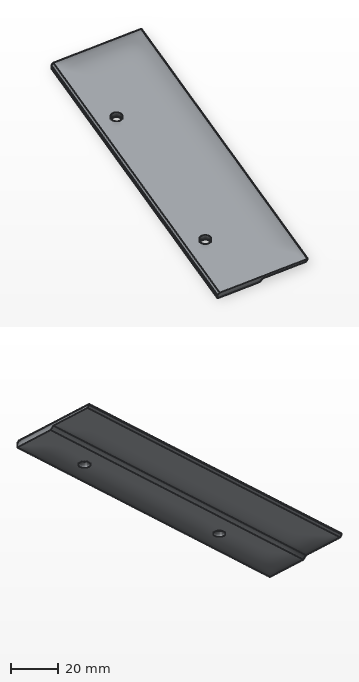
import cadquery as cq

length = 150.0
width = 43.0
thickness = 3.0

bar_width = 20.0
step_slope_run = 1.6
lip_thickness = thickness / 2
edge_chamfer = 1.0

hole_count = 2
hole_diameter = 5.2
hole_y = bar_width / 2
first_hole_x = 40.0
hole_spacing = 80.0


def make_strip():
    """Extrude the Y-Z cross-section along X."""
    lip_bottom = thickness - lip_thickness
    profile = [
        (0, 0),
        (bar_width, 0),
        (bar_width + step_slope_run, lip_bottom),
        (width - edge_chamfer, lip_bottom),
        (width, lip_bottom + edge_chamfer),
        (width, thickness),
        (edge_chamfer, thickness),
        (0, thickness - edge_chamfer),
    ]
    return cq.Workplane("YZ").polyline(profile).close().extrude(length)


def make_holes():
    """Vertical cylinders in a row along X that pass through the strip."""
    centres = [(first_hole_x + i * hole_spacing, hole_y) for i in range(hole_count)]
    return cq.Workplane("XY").pushPoints(centres).circle(hole_diameter / 2).extrude(thickness)


result = make_strip().cut(make_holes())